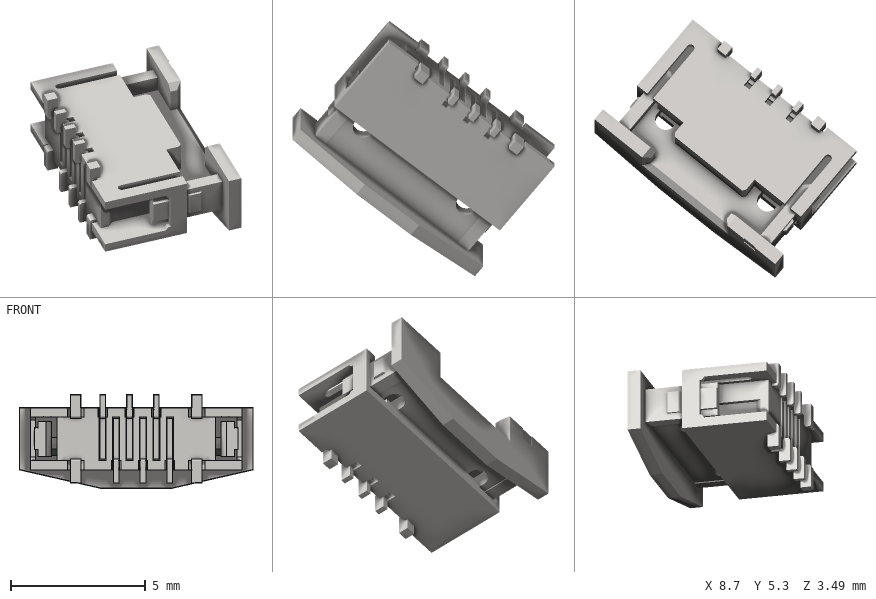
import cadquery as cq

contact_span = 2.5
pitch = contact_span / 5

housing_width = 7.88
housing_half_height = 1.16
housing_front = 0.035
housing_back = 3.3
plate_inner_z = 0.81
core_half_width = 2.96
core_front = 0.235
wall_inner_x = 3.74
wall_front = 2.64
gusset_height = 0.12
gusset_flat_front = 2.55
gusset_foot_front = 2.445

tongue_half_width = 1.71
tongue_back = 3.915
tongue_chamfer_x = 0.1
tongue_chamfer_y = 0.12

slot_inner_x = 3.17
slot_width = 0.29
slot_front = 0.79
pocket_depth = 0.21
pocket_top = 0.08
pocket_front = 0.55

flange_width = 8.7
flange_back = 5.3
flange_thickness = 0.5
flange_bottom = -1.85
flange_flat_half_width = 1.3
notch_half_width = 1.83
lead_in = 0.235
mark_center_x = -3.11
mark_width = 0.54
mark_depth = 0.03
slider_top = 0.04
slider_bottom = -0.62
slider_front = 2.33
slider_nose_height = 0.2
slider_lip_depth = 0.04
slider_slot_x = 2.45
slider_slot_back_center = 3.44
slider_slot_radius = 0.39
arm_inner_x = 3.16
arm_outer_x = 3.65
arm_front = 2.02
arm_chamfer = 0.2
arm_top = 0.635
arm_bottom = -0.66
latch_half_height = 0.41
latch_reach = 0.14
bump_reach = 0.1
bump_front = 3.41
bump_back = 3.99
bump_taper = 0.08

pin_end_z = 1.64
pin_base_z = 0.76
pin_depth = 0.41
pin_fillet = 0.09
contact_width = 0.21
contact_x = [-2.5 * pitch, -0.5 * pitch, 1.5 * pitch]
blade_front = 0.29
blade_back = 0.56
blade_top = 1.09
blade_bottom = -0.76
groove_width = 0.26
groove_mouth_width = 0.35
groove_top_back = 0.765
anchor_x = 2.25
anchor_width = 0.39
anchor_notch_width = 0.61
notch_flare_slope = 0.6

flange_front = flange_back - flange_thickness
plate_thickness = housing_half_height - plate_inner_z


def box(x0, x1, y0, y1, z0, z1):
    """Block between two opposite corners."""
    return cq.Workplane("XY").box(x1 - x0, y1 - y0, z1 - z0, centered=False).translate((x0, y0, z0))


def plan_prism(points, z0, z1):
    """Plan outline raised from z0 to z1."""
    return cq.Workplane("XY").workplane(offset=z0).polyline(points).close().extrude(z1 - z0)


def side_prism(points, x0, x1):
    """(y, z) outline swept from x0 to x1."""
    return cq.Workplane("YZ").workplane(offset=x0).polyline(points).close().extrude(x1 - x0)


def both_sides(left):
    """The left-hand shape together with its mirror image on the right."""
    return left.union(left.mirror("YZ"))


def both_faces(upper):
    """The upper shape together with the same shape turned half a turn about Y."""
    return upper.union(upper.rotate((0, 0, 0), (0, 1, 0), 180))


def make_housing():
    half_width = housing_width / 2
    height = housing_half_height

    body = box(-core_half_width, core_half_width, core_front, housing_back, -plate_inner_z, plate_inner_z)

    recess_half_width = anchor_x + anchor_notch_width / 2
    plate = box(-half_width, half_width, housing_front, housing_back, plate_inner_z, height)
    plate = plate.cut(
        box(-recess_half_width, recess_half_width, 0, core_front, plate_inner_z, height)
    )
    body = body.union(both_faces(plate))

    gusset_z = plate_inner_z - gusset_height
    wall = box(-half_width, -wall_inner_x, wall_front, housing_back, -plate_inner_z, plate_inner_z)
    gusset = side_prism(
        [
            (wall_front, plate_inner_z),
            (gusset_foot_front, plate_inner_z),
            (gusset_flat_front, gusset_z),
            (wall_front, gusset_z),
        ],
        -half_width,
        -wall_inner_x,
    )
    body = body.union(both_sides(wall.union(gusset).union(gusset.mirror("XY"))))

    tip_half_width = tongue_half_width - tongue_chamfer_x
    shoulder_y = tongue_back - tongue_chamfer_y
    tongue = plan_prism(
        [
            (-tongue_half_width, housing_back),
            (tongue_half_width, housing_back),
            (tongue_half_width, shoulder_y),
            (tip_half_width, tongue_back),
            (-tip_half_width, tongue_back),
            (-tongue_half_width, shoulder_y),
        ],
        slider_top,
        height,
    )
    body = body.union(tongue)

    slot_radius = slot_width / 2
    slot_x = -slot_inner_x - slot_radius
    slot_end = cq.Workplane("XY").circle(slot_radius).extrude(plate_thickness)
    slot = slot_end.translate((slot_x, slot_front + slot_radius, plate_inner_z)).union(
        box(
            slot_x - slot_radius,
            slot_x + slot_radius,
            slot_front + slot_radius,
            housing_back,
            plate_inner_z,
            height,
        )
    )

    pocket = plan_prism(
        [
            (-core_half_width, pocket_front),
            (-core_half_width + pocket_depth, pocket_front + pocket_depth),
            (-core_half_width + pocket_depth, housing_back),
            (-core_half_width, housing_back),
        ],
        -plate_inner_z,
        pocket_top,
    )
    return body.cut(both_sides(slot.union(pocket)))


def flared_notch(x, mouth_width, throat_width):
    """Cut through the top plate narrowing from the core front towards a pin."""
    mouth = mouth_width / 2
    throat = throat_width / 2
    flare_back = core_front + notch_flare_slope * (mouth - throat)
    return plan_prism(
        [
            (x - mouth, core_front),
            (x + mouth, core_front),
            (x + throat, flare_back),
            (x - throat, flare_back),
        ],
        plate_inner_z,
        housing_half_height,
    )


def make_pin(x, width):
    """Upright pin with its lower front edge rounded."""
    pin = box(x - width / 2, x + width / 2, 0, pin_depth, pin_base_z, pin_end_z)
    return pin.faces("<Z").edges("<Y").fillet(pin_fillet)


def cut_contact_space(body):
    cuts = cq.Workplane("XY")
    for x in contact_x:
        left = x - groove_width / 2
        right = x + groove_width / 2
        cuts = cuts.union(box(left, right, core_front, blade_back, -plate_inner_z, plate_inner_z))
        cuts = cuts.union(
            box(left, right, core_front, groove_top_back, plate_inner_z, housing_half_height)
        )
        cuts = cuts.union(flared_notch(x, groove_mouth_width, groove_width))
    for x in (-anchor_x, anchor_x):
        cuts = cuts.union(flared_notch(x, anchor_notch_width, anchor_width))
    return body.cut(both_faces(cuts))


def make_pins():
    pins = cq.Workplane("XY")
    for x in contact_x:
        half = contact_width / 2
        pins = pins.union(make_pin(x, contact_width))
        pins = pins.union(box(x - half, x + half, blade_front, blade_back, blade_bottom, blade_top))
    for x in (-anchor_x, anchor_x):
        pins = pins.union(make_pin(x, anchor_width))
    return both_faces(pins)


def make_flange():
    half_width = flange_width / 2
    outline = [
        (-half_width, housing_half_height),
        (half_width, housing_half_height),
        (half_width, -housing_half_height),
        (flange_flat_half_width, flange_bottom),
        (-flange_flat_half_width, flange_bottom),
        (-half_width, -housing_half_height),
    ]
    flange = (
        cq.Workplane("XZ", origin=(0, flange_back, 0)).polyline(outline).close().extrude(flange_thickness)
    )

    outer = notch_half_width + lead_in
    notch_outline = [
        (-notch_half_width, slider_top),
        (notch_half_width, slider_top),
        (notch_half_width, housing_half_height - lead_in),
        (outer, housing_half_height),
        (-outer, housing_half_height),
        (-notch_half_width, housing_half_height - lead_in),
    ]
    notch = (
        cq.Workplane("XZ", origin=(0, flange_back, 0))
        .polyline(notch_outline)
        .close()
        .extrude(flange_thickness)
    )

    side_bevel = plan_prism(
        [
            (-notch_half_width, flange_back - lead_in),
            (notch_half_width, flange_back - lead_in),
            (outer, flange_back),
            (-outer, flange_back),
        ],
        slider_top - lead_in,
        housing_half_height,
    )
    floor_bevel = side_prism(
        [
            (flange_back - lead_in, slider_top),
            (flange_back, slider_top - lead_in),
            (flange_back, housing_half_height),
            (flange_back - lead_in, housing_half_height),
        ],
        -outer,
        outer,
    )

    mark = box(
        mark_center_x - mark_width / 2,
        mark_center_x + mark_width / 2,
        flange_back - mark_depth,
        flange_back,
        housing_half_height - mark_width,
        housing_half_height,
    )
    return flange.cut(notch).cut(side_bevel.intersect(floor_bevel)).cut(mark)


def make_slider_plate():
    """Plate with a wedge-shaped front joining the two arms."""
    bevel = (slider_top - slider_bottom - slider_nose_height) / 2
    return side_prism(
        [
            (flange_front, slider_top),
            (slider_front + slider_lip_depth, slider_top),
            (slider_front, slider_top - bevel),
            (slider_front, slider_bottom + bevel),
            (slider_front + bevel, slider_bottom),
            (flange_front, slider_bottom),
        ],
        -arm_inner_x,
        arm_inner_x,
    )


def make_slider_slots():
    """Round-backed vertical slots that run from the slider plate forward into the core."""
    height = slider_top - slider_bottom
    slot_end = cq.Workplane("XY").circle(slider_slot_radius).extrude(height)
    slot = slot_end.translate((-slider_slot_x, slider_slot_back_center, slider_bottom)).union(
        box(
            -slider_slot_x - slider_slot_radius,
            -slider_slot_x + slider_slot_radius,
            slider_front,
            slider_slot_back_center,
            slider_bottom,
            slider_top,
        )
    )
    return both_sides(slot)


def make_arms():
    """Side arms with a latch at the tip and a bevelled bump behind the housing."""
    arm = plan_prism(
        [
            (-arm_outer_x, arm_front),
            (-arm_inner_x - arm_chamfer, arm_front),
            (-arm_inner_x, arm_front + arm_chamfer),
            (-arm_inner_x, flange_front),
            (-arm_outer_x, flange_front),
        ],
        arm_bottom,
        arm_top,
    )
    latch = box(
        -arm_outer_x - latch_reach,
        -arm_outer_x,
        arm_front,
        wall_front,
        -latch_half_height,
        latch_half_height,
    )
    bump = plan_prism(
        [
            (-arm_outer_x, bump_front),
            (-arm_outer_x - bump_reach, bump_front + bump_taper),
            (-arm_outer_x - bump_reach, bump_back - bump_taper),
            (-arm_outer_x, bump_back),
        ],
        -latch_half_height,
        latch_half_height,
    )
    return both_sides(arm.union(latch).union(bump))


housing = cut_contact_space(make_housing())
slider = make_flange().union(make_slider_plate()).union(make_arms())
pins = make_pins()
result = housing.union(slider).cut(make_slider_slots()).union(pins)